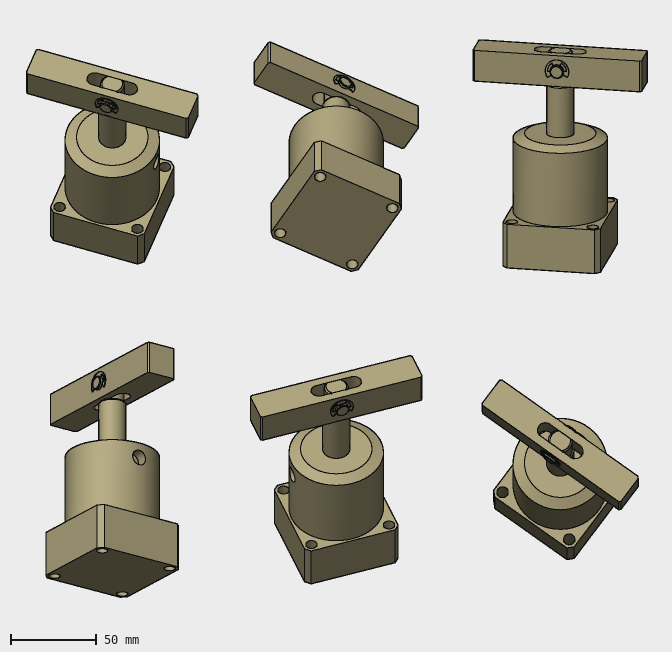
import cadquery as cq
import math

flange_width = 58.0
flange_height = 27.0
flange_corner_chamfer = 3.0
bolt_spacing = 48.0
bolt_hole_diameter = 6.5
cylinder_diameter = 55.0
housing_height = 75.0
housing_top_diameter = 41.6
housing_chamfer_height = 2.8
port_diameter = 9.1
port_depth = 7.5
port_below_top = 12.0

arm_length = 100.0
arm_width = 19.0
arm_height = 19.0
arm_top = 126.0
arm_edge_chamfer = 1.0
arm_bottom = arm_top - arm_height
slot_length = 30.5
slot_width = 9.0

rod_diameter = 16.0
rod_chamfer = 1.0
shoulder_gap = 0.5
shoulder_height = arm_bottom - shoulder_gap
tang_diameter = rod_diameter - 2 * rod_chamfer
tang_top = arm_top

pin_diameter = 8.0
pin_length = 23.0
pin_chamfer = 0.5
pin_height = arm_bottom + arm_height / 2

clip_diameter = 14.0
clip_thickness = 0.5
clip_opening_angle = 114.0
clip_tilt = -4.0
window_diameter = 11.3
window_start_angle = 0.0
window_end_angle = 60.0


def pin_cylinder(diameter, length):
    """Cylinder along Y on the pivot axis, centred on the arm."""
    return (
        cq.Workplane("XZ", origin=(0, length / 2, pin_height))
        .circle(diameter / 2)
        .extrude(length)
    )


def make_housing():
    flange = (
        cq.Workplane("XY")
        .rect(flange_width, flange_width)
        .extrude(flange_height)
        .edges("|Z")
        .chamfer(flange_corner_chamfer)
    )
    chamfer_width = (cylinder_diameter - housing_top_diameter) / 2
    cylinder = (
        cq.Workplane("XY")
        .circle(cylinder_diameter / 2)
        .extrude(housing_height)
        .faces(">Z")
        .chamfer(housing_chamfer_height, chamfer_width)
    )
    bolt_holes = (
        cq.Workplane("XY")
        .rect(bolt_spacing, bolt_spacing, forConstruction=True)
        .vertices()
        .circle(bolt_hole_diameter / 2)
        .extrude(flange_height)
    )
    port = (
        cq.Workplane("YZ", origin=(cylinder_diameter / 2, 0, housing_height - port_below_top))
        .circle(port_diameter / 2)
        .extrude(-port_depth)
    )
    return flange.union(cylinder).cut(bolt_holes).cut(port)


def make_rod():
    shaft = (
        cq.Workplane("XY", origin=(0, 0, housing_height))
        .circle(rod_diameter / 2)
        .extrude(shoulder_height - housing_height)
        .faces(">Z")
        .chamfer(rod_chamfer)
    )
    tang_length = tang_top - shoulder_height
    tang_blank = (
        cq.Workplane("XY", origin=(0, 0, shoulder_height))
        .circle(tang_diameter / 2)
        .extrude(tang_length)
        .faces(">Z")
        .chamfer(rod_chamfer)
    )
    flats = (
        cq.Workplane("XY", origin=(0, 0, shoulder_height))
        .rect(tang_diameter, slot_width)
        .extrude(tang_length)
    )
    tang = tang_blank.intersect(flats)
    return shaft.union(tang).cut(pin_cylinder(pin_diameter, arm_width))


def make_arm():
    bar = (
        cq.Workplane("XY", origin=(0, 0, arm_bottom))
        .rect(arm_length, arm_width)
        .extrude(arm_height)
        .edges("|Z")
        .chamfer(arm_edge_chamfer)
    )
    slot = cq.Workplane("XY", origin=(0, 0, arm_bottom)).slot2D(slot_length, slot_width).extrude(arm_height)
    return bar.cut(slot).cut(pin_cylinder(pin_diameter, arm_width))


def make_pin():
    return pin_cylinder(pin_diameter, pin_length).faces("<Y or >Y").chamfer(pin_chamfer)


def ring_sector(clip_plane, inner_radius, outer_radius, start_angle, end_angle):
    """Part of a flat ring between two angles, measured from +X towards +Z."""
    def point(radius, angle):
        return (radius * math.cos(math.radians(angle)), radius * math.sin(math.radians(angle)))

    middle_angle = (start_angle + end_angle) / 2
    return (
        clip_plane.moveTo(*point(inner_radius, start_angle))
        .lineTo(*point(outer_radius, start_angle))
        .threePointArc(point(outer_radius, middle_angle), point(outer_radius, end_angle))
        .lineTo(*point(inner_radius, end_angle))
        .threePointArc(point(inner_radius, middle_angle), point(inner_radius, start_angle))
        .close()
        .extrude(clip_thickness)
    )


def make_clip(back_face_y):
    """E-shaped clip, open downwards and tilted slightly; it reaches from its back face towards -Y."""
    clip_plane = cq.Workplane("XZ", origin=(0, back_face_y, pin_height))
    pin_radius = pin_diameter / 2
    opening_start = -90 + clip_opening_angle / 2
    clip = ring_sector(clip_plane, pin_radius, clip_diameter / 2, opening_start, 180 - opening_start)
    for start, end in (
        (window_start_angle, window_end_angle),
        (180 - window_end_angle, 180 - window_start_angle),
    ):
        clip = clip.cut(ring_sector(clip_plane, pin_radius, window_diameter / 2, start, end))
    pivot_start = (0, 0, pin_height)
    pivot_end = (0, -1, pin_height)
    return clip.rotate(pivot_start, pivot_end, clip_tilt)


housing = make_housing()
rod = make_rod()
arm = make_arm()
pin = make_pin()
clips = [make_clip(back_face_y) for back_face_y in (-arm_width / 2, arm_width / 2 + clip_thickness)]

result = cq.Compound.makeCompound(
    [housing.val(), rod.val(), arm.val(), pin.val(), *[clip.val() for clip in clips]]
)